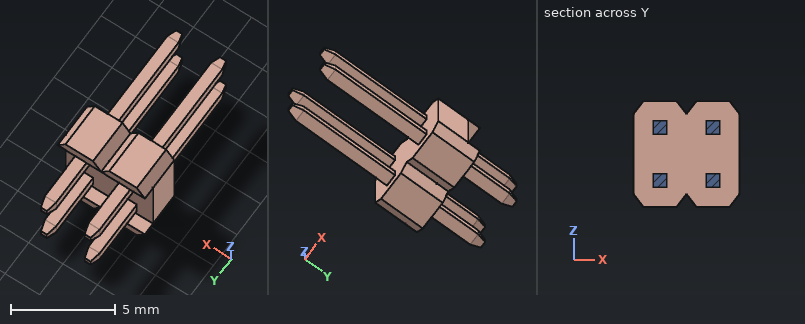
import cadquery as cq

pitch = 2.54
pins_per_side = 2
housing_depth = 2.5
front_pin_length = 6.0
overall_length = 11.5
pin_width = 0.65
tip_width = 0.36
tip_length = 0.55
corner_run = 0.47
corner_drop = 0.61
recess_depth = 0.7
web_thickness = 0.01

housing_size = pitch * pins_per_side
half_size = housing_size / 2
shoulder = half_size - corner_drop
recess_height = 2 * (shoulder - web_thickness)


def make_housing():
    """Block with chamfered corners, V notches between columns and a rear channel."""
    top_edge = []
    for column in range(pins_per_side):
        left = -half_size + column * pitch
        top_edge += [
            (left, shoulder),
            (left + corner_run, half_size),
            (left + pitch - corner_run, half_size),
        ]
    top_edge.append((half_size, shoulder))
    bottom_edge = [(x, -z) for x, z in reversed(top_edge)]
    block = (
        cq.Workplane("XZ")
        .polyline(top_edge + bottom_edge)
        .close()
        .extrude(-housing_depth)
    )
    channel = cq.Workplane("XY").box(
        housing_size, recess_depth, recess_height
    ).translate((0, housing_depth - recess_depth / 2, 0))
    return block.cut(channel)


def make_pin():
    """Square pin with a tapered tip at each end, centred on the Y axis."""
    shaft_start = tip_length - front_pin_length
    shaft_length = overall_length - 2 * tip_length
    shaft = (
        cq.Workplane("XZ", origin=(0, shaft_start, 0))
        .rect(pin_width, pin_width)
        .extrude(-shaft_length)
    )
    front_tip = (
        cq.Workplane("XZ", origin=(0, shaft_start, 0))
        .rect(pin_width, pin_width)
        .workplane(offset=tip_length)
        .rect(tip_width, tip_width)
        .loft(ruled=True)
    )
    shaft_middle = shaft_start + shaft_length / 2
    rear_tip = front_tip.mirror("XZ", (0, shaft_middle, 0))
    return shaft.union(front_tip).union(rear_tip)


result = make_housing()
pin = make_pin()
first_pin = -pitch * (pins_per_side - 1) / 2
for column in range(pins_per_side):
    for row in range(pins_per_side):
        position = (first_pin + column * pitch, 0, first_pin + row * pitch)
        result = result.union(pin.translate(position))